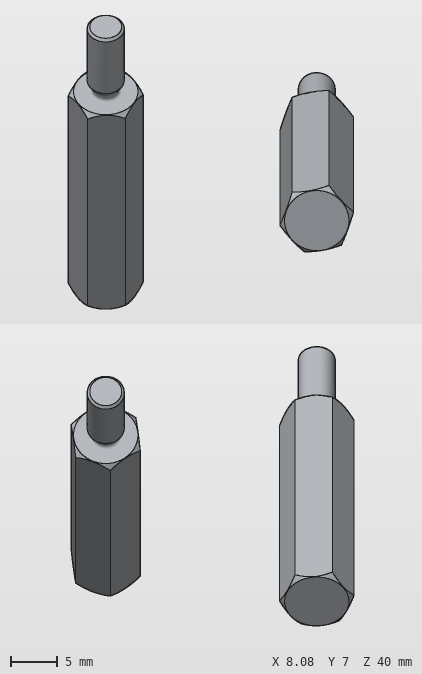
import cadquery as cq
import math

total_length = 40.0
body_length = 30.0
across_flats = 7.0
end_face_diameter = 6.9
end_chamfer_angle = 45.0

stud_diameter = 4.0
tip_chamfer = 0.3
neck_diameter = 2.9
neck_fillet = 0.4
undercut_length = 1.75
runout_angle = 30.0

across_corners = across_flats / math.cos(math.radians(30))


def hex_body():
    """Hexagonal bar with corners along X and conically chamfered ends."""
    bar = cq.Workplane("XY").polygon(6, across_corners).extrude(body_length)
    face_radius = end_face_diameter / 2
    corner_radius = across_corners / 2
    chamfer_height = (corner_radius - face_radius) * math.tan(math.radians(end_chamfer_angle))
    envelope = (
        cq.Workplane("XZ")
        .moveTo(0, 0)
        .lineTo(face_radius, 0)
        .lineTo(corner_radius, chamfer_height)
        .lineTo(corner_radius, body_length - chamfer_height)
        .lineTo(face_radius, body_length)
        .lineTo(0, body_length)
        .close()
        .revolve(360, (0, 0), (0, 1))
    )
    return bar.intersect(envelope)


def stud():
    """Round stud with a chamfered tip and a filleted undercut at its root."""
    stud_radius = stud_diameter / 2
    neck_radius = neck_diameter / 2
    runout_top = body_length + undercut_length

    angle = math.radians(runout_angle)
    cone_start_radius = neck_radius + neck_fillet * (1 - math.cos(angle))
    cone_height = (stud_radius - cone_start_radius) / math.tan(angle)
    cone_start = runout_top - cone_height
    neck_top = cone_start - neck_fillet * math.sin(angle)
    upper_arc_radius = neck_radius + neck_fillet * (1 - math.cos(angle / 2))
    upper_arc_height = neck_top + neck_fillet * math.sin(angle / 2)

    neck_bottom = body_length + neck_fillet
    lower_arc_offset = neck_fillet * (1 - math.sqrt(0.5))

    return (
        cq.Workplane("XZ")
        .moveTo(0, body_length)
        .lineTo(neck_radius + neck_fillet, body_length)
        .threePointArc(
            (neck_radius + lower_arc_offset, body_length + lower_arc_offset),
            (neck_radius, neck_bottom),
        )
        .lineTo(neck_radius, neck_top)
        .threePointArc((upper_arc_radius, upper_arc_height), (cone_start_radius, cone_start))
        .lineTo(stud_radius, runout_top)
        .lineTo(stud_radius, total_length - tip_chamfer)
        .lineTo(stud_radius - tip_chamfer, total_length)
        .lineTo(0, total_length)
        .close()
        .revolve(360, (0, 0), (0, 1))
    )


result = hex_body().union(stud())